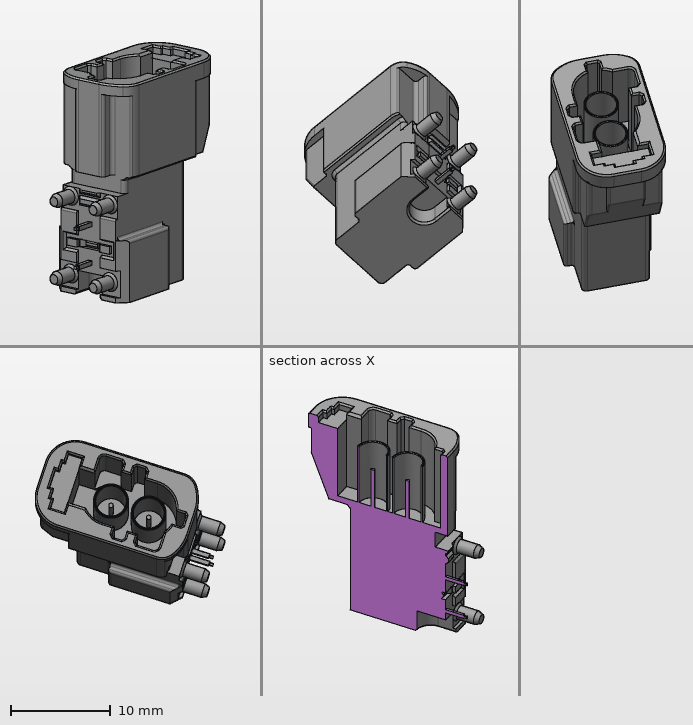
import cadquery as cq
import math

CLEAR_OF_PART = 6.76
EDGE_TOLERANCE = 0.02

TOTAL_HEIGHT = 22.55
HEAD_BOTTOM = 12.76
FOOT_TOP = 11.0

HEAD_HALF_WIDTH = 4.55
HEAD_FRONT = 0.1
HEAD_BACK = 16.0
HEAD_BACK_RADIUS = 3.13
HEAD_FRONT_HALF_FLAT = 1.29
FRONT_BOW_RADIUS = 4.33
FRONT_BOW_HALF_WIDTH = 3.75
RIM_CHAMFER = 0.18
HEAD_BOTTOM_CHAMFER = 0.18

GROOVE_TOP = 21.38
RIB_HALF_WIDTH = 1.85
RIB_FOOT_RADIUS = 0.38
RIB_NOSE_RADIUS = 0.34
GROOVE_CORNER_RADIUS = 0.23

BACK_RIM_BOTTOM = 20.75
BACK_HALF_WIDTH = 3.88
BACK_START = 11.73
BACK_STEP_RADIUS = 0.18
SHOULDER_Y = 14.93
SHOULDER_RADIUS = 0.43
TONGUE_BACK = 15.7
TONGUE_HALF_WIDTH = 1.92
TONGUE_RADIUS = 0.2
SLOPE_EDGE_RADIUS = 0.15
SLOPE_TOP = 17.77
SLOPE_FOOT_Y = 13.69

BODY_HALF_WIDTH = 3.5
BODY_FRONT = 1.49
BODY_BACK = 11.23
BODY_CORNER_RADIUS = 0.5
NECK_FLARE = 0.35

WING_HALF_WIDTH = 4.49
WING_TOP = 6.47
WING_BACK = 7.53
WING_FRONT_CHAMFER = WING_HALF_WIDTH - BODY_HALF_WIDTH
WING_ROUND = 0.32

FACE_RECESS_DEPTH = 0.34
FACE_SHOULDER_RADIUS = 0.18
UPPER_RECESS_BOTTOM = 8.65
COLUMN_HALF_WIDTH = 1.49
LOWER_RECESS_TOP = 3.31
LOWER_RECESS_BOTTOM = 0.52
CROSS_SLOT_HALF_WIDTH = 3.25
CROSS_SLOT_BOTTOM = 4.37
CROSS_SLOT_TOP = 6.31
CROSS_SLOT_TAPER = 30.0
CLIP_BOTTOM = 4.94
CLIP_TOP = 5.73
CLIP_HALF_WIDTH = 2.7
CLIP_GAP_HALF_WIDTH = 1.47
CLIP_DIP_TOP_HALF_WIDTH = 1.3
CLIP_DIP_HALF_WIDTH = 0.9
CLIP_DIP_DEPTH = 0.45
CLIP_RIDGE_HALF_WIDTH = 0.72
CLIP_RIDGE_HEIGHT = 0.23
CLIP_RIDGE_CREST = 0.27
PAD_HALF_WIDTH = 1.3
PAD_CHAMFER = 0.27
PAD_TOP = 10.33
PAD_BOTTOM = 9.31
UPPER_PAD_BOTTOM = 10.53

NOTCH_RADIUS = 1.53
NOTCH_CENTER_Y = 2.03
NOTCH_HEIGHT = 2.44
NOTCH_CHAMFER = 0.23

PEG_X = 2.5
PEG_HEIGHTS = (1.95, 10.03)
PEG_RADIUS = 0.72
PEG_TIP_RADIUS = 0.5
PEG_BASE_RADIUS = 0.97
PEG_BASE_LENGTH = 0.25
PEG_TIP_Y = -2.4
PEG_TIP_LENGTH = 0.52
PIN_HEIGHTS = (3.52, 7.55)
PIN_HALF_WIDTH = 0.23
PIN_TIP_HALF_WIDTH = 0.14
PIN_TIP_Y = -2.1
PIN_SHOULDER_Y = -1.75

CAVITY_FLOOR = 13.53
LATCH_FLOOR = 21.74
LEAD_IN = 0.18
NECK_LEAD_IN = 0.27
COAX_CENTERS_Y = (4.7, 8.65)
COAX_OUTER_DIAMETER = 3.5
COAX_BORE_DIAMETER = 3.07
COAX_RIM_CHAMFER = 0.1
COAX_TOP = 20.4
COAX_PIN_RADIUS = 0.23
COAX_PIN_TOP = 18.05
MAIN_RADIUS = 2.95
NECK_HALF_WIDTH = 2.1
KEY_HALF_WIDTH = 0.88
KEY_FRONT = 0.75
KEY_CLIP = 0.27
SIDE_SLOT_REACH = 4.01
SIDE_SLOT_CLIP = 0.35
SIDE_SLOT_FRONT = 5.86
SIDE_SLOT_BACK = 7.58
RIGHT_CODING_SPAN = (8.32, 11.15)
LEFT_CODING_SPAN = (5.12, 2.3)
CODING_FLOOR = 14.43
CODING_ROUND = 0.72
LATCH_FRONT = 12.45
LATCH_STEPS = ((3.11, 14.27), (NECK_HALF_WIDTH, 14.6), (1.13, 15.02))


def block(x0, x1, y0, y1, z0, z1):
    return cq.Workplane("XY").box(x1 - x0, y1 - y0, z1 - z0, centered=False).translate((x0, y0, z0))


def edges_along(part, y, z_range):
    z0, z1 = z_range
    selector = cq.selectors.BoxSelector(
        (-CLEAR_OF_PART, y - EDGE_TOLERANCE, z0 - EDGE_TOLERANCE),
        (CLEAR_OF_PART, y + EDGE_TOLERANCE, z1 + EDGE_TOLERANCE),
        boundingbox=True,
    )
    return part.edges(selector)


def cove_profile(plane, corner, direction, radius):
    u, v = corner
    du, dv = direction
    mid = radius * (1 - math.sqrt(0.5))
    return (
        cq.Workplane(plane)
        .moveTo(u, v)
        .lineTo(u + du * radius, v)
        .threePointArc((u + du * mid, v + dv * mid), (u, v + dv * radius))
        .close()
    )


def head_outline():
    bow_angle = math.asin((FRONT_BOW_HALF_WIDTH - HEAD_FRONT_HALF_FLAT) / FRONT_BOW_RADIUS)
    corner_radius = (HEAD_HALF_WIDTH - FRONT_BOW_HALF_WIDTH) / (1 - math.sin(bow_angle))
    bow_end_y = HEAD_FRONT + FRONT_BOW_RADIUS * (1 - math.cos(bow_angle))
    side_start_y = bow_end_y + corner_radius * math.cos(bow_angle)
    back_flat = HEAD_HALF_WIDTH - HEAD_BACK_RADIUS
    side_end_y = HEAD_BACK - HEAD_BACK_RADIUS
    return (
        cq.Workplane("XY")
        .moveTo(-HEAD_FRONT_HALF_FLAT, HEAD_FRONT)
        .lineTo(HEAD_FRONT_HALF_FLAT, HEAD_FRONT)
        .tangentArcPoint((FRONT_BOW_HALF_WIDTH, bow_end_y), relative=False)
        .tangentArcPoint((HEAD_HALF_WIDTH, side_start_y), relative=False)
        .lineTo(HEAD_HALF_WIDTH, side_end_y)
        .tangentArcPoint((back_flat, HEAD_BACK), relative=False)
        .lineTo(-back_flat, HEAD_BACK)
        .tangentArcPoint((-HEAD_HALF_WIDTH, side_end_y), relative=False)
        .lineTo(-HEAD_HALF_WIDTH, side_start_y)
        .tangentArcPoint((-FRONT_BOW_HALF_WIDTH, bow_end_y), relative=False)
        .tangentArcPoint((-HEAD_FRONT_HALF_FLAT, HEAD_FRONT), relative=False)
        .close()
    )


def make_front_rib():
    height = GROOVE_TOP - HEAD_BOTTOM
    rib = (
        block(-RIB_HALF_WIDTH, RIB_HALF_WIDTH, HEAD_FRONT, BODY_FRONT, HEAD_BOTTOM, GROOVE_TOP)
        .edges("|Z and <Y")
        .fillet(RIB_NOSE_RADIUS)
    )
    for side in (-1, 1):
        corner = (side * RIB_HALF_WIDTH, BODY_FRONT)
        foot = cove_profile("XY", corner, (side, -1), RIB_FOOT_RADIUS).extrude(height)
        rib = rib.union(foot.translate((0, 0, HEAD_BOTTOM)))
    envelope = head_outline().extrude(TOTAL_HEIGHT)
    return rib.intersect(envelope)


def cut_front_grooves(head):
    reach = CLEAR_OF_PART
    head = head.cut(block(-reach, reach, -reach, BODY_FRONT, HEAD_BOTTOM, GROOVE_TOP))
    return edges_along(head, BODY_FRONT, (HEAD_BOTTOM, GROOVE_TOP)).edges("|Z").fillet(GROOVE_CORNER_RADIUS)


def back_step(half_width, back, corner_radius):
    step = (
        block(-half_width, half_width, BACK_START, back, HEAD_BOTTOM, BACK_RIM_BOTTOM)
        .edges("|Z and >Y")
        .fillet(corner_radius)
        .cut(slope_cutter())
    )
    slope_normal = cq.Vector(0, SLOPE_TOP - HEAD_BOTTOM, SLOPE_FOOT_Y - TONGUE_BACK)
    slope_face = step.faces(cq.selectors.ParallelDirSelector(slope_normal))
    return slope_face.edges("not |X").fillet(SLOPE_EDGE_RADIUS)


def back_profile():
    height = BACK_RIM_BOTTOM - HEAD_BOTTOM
    shoulder = back_step(BACK_HALF_WIDTH, SHOULDER_Y, SHOULDER_RADIUS)
    tongue = back_step(TONGUE_HALF_WIDTH, TONGUE_BACK, TONGUE_RADIUS)
    profile = shoulder.union(tongue)
    for side in (-1, 1):
        corner = (side * BACK_HALF_WIDTH, BACK_START)
        cove = cove_profile("XY", corner, (side, 1), BACK_STEP_RADIUS).extrude(height)
        profile = profile.union(cove.translate((0, 0, HEAD_BOTTOM)))
    return profile


def slope_cutter():
    beyond = HEAD_BACK + CLEAR_OF_PART
    return (
        cq.Workplane("YZ")
        .polyline([
            (SLOPE_FOOT_Y, HEAD_BOTTOM),
            (TONGUE_BACK, SLOPE_TOP),
            (beyond, SLOPE_TOP),
            (beyond, HEAD_BOTTOM),
        ])
        .close()
        .extrude(HEAD_HALF_WIDTH, both=True)
    )


def narrow_back(head):
    reach = CLEAR_OF_PART
    surround = block(-reach, reach, BACK_START, HEAD_BACK + CLEAR_OF_PART, HEAD_BOTTOM, BACK_RIM_BOTTOM)
    head = head.cut(surround.cut(back_profile()))
    step_edges = edges_along(head, BACK_START, (HEAD_BOTTOM, BACK_RIM_BOTTOM)).edges("|Z")
    return step_edges.edges("<X or >X").fillet(BACK_STEP_RADIUS)


def make_head():
    height = TOTAL_HEIGHT - HEAD_BOTTOM
    head = head_outline().extrude(height).translate((0, 0, HEAD_BOTTOM))
    head = head.faces(">Z").edges().chamfer(RIM_CHAMFER)
    head = head.faces("<Z").edges().chamfer(HEAD_BOTTOM_CHAMFER)
    head = narrow_back(cut_front_grooves(head))
    return head.union(make_front_rib())


def make_body():
    shaft_top = HEAD_BOTTOM + HEAD_BOTTOM_CHAMFER
    body = (
        block(-BODY_HALF_WIDTH, BODY_HALF_WIDTH, BODY_FRONT, BODY_BACK, 0, shaft_top)
        .edges("|Z")
        .fillet(BODY_CORNER_RADIUS)
    )
    depth = BODY_BACK - BODY_FRONT
    section = cq.Sketch().rect(2 * BODY_HALF_WIDTH, depth).vertices().fillet(BODY_CORNER_RADIUS)
    flare = (
        cq.Workplane("XY")
        .workplane(offset=HEAD_BOTTOM - NECK_FLARE)
        .center(0, BODY_FRONT + depth / 2)
        .placeSketch(section)
        .extrude(NECK_FLARE, taper=-45)
    )
    reach = HEAD_HALF_WIDTH
    flare = flare.intersect(block(-reach, reach, BODY_FRONT, BODY_BACK + reach, 0, TOTAL_HEIGHT))
    foot = block(-BODY_HALF_WIDTH, BODY_HALF_WIDTH, 0, BODY_FRONT + BODY_CORNER_RADIUS, 0, FOOT_TOP)
    return body.union(flare).union(foot)


def make_wings():
    wings = (
        block(-WING_HALF_WIDTH, WING_HALF_WIDTH, 0, WING_BACK, 0, WING_TOP)
        .edges("|Z and <Y")
        .chamfer(WING_FRONT_CHAMFER)
    )
    outer = wings.faces("<X or >X").edges(">Y or >Z")
    return outer.fillet(WING_ROUND)


def make_wing_coves():
    coves = cq.Workplane("XY")
    for side in (-1, 1):
        corner_x = side * BODY_HALF_WIDTH
        top_profile = cove_profile("XZ", (corner_x, WING_TOP), (side, 1), WING_ROUND)
        top = top_profile.extrude(WING_ROUND - WING_BACK).translate((0, WING_ROUND, 0))
        back = cove_profile("XY", (corner_x, WING_BACK), (side, 1), WING_ROUND).extrude(WING_TOP)
        coves = coves.add(top).add(back)
    return coves.combine()


def cut_mounting_face(part):
    reach = CLEAR_OF_PART
    depth = FACE_RECESS_DEPTH
    lower_half = BODY_HALF_WIDTH + depth
    part = part.cut(block(-reach, reach, -reach, depth, UPPER_RECESS_BOTTOM, FOOT_TOP))
    part = part.cut(block(-lower_half, lower_half, -reach, depth, LOWER_RECESS_BOTTOM, LOWER_RECESS_TOP))
    part = part.cut(
        block(-COLUMN_HALF_WIDTH, COLUMN_HALF_WIDTH, -reach, depth, LOWER_RECESS_BOTTOM, UPPER_RECESS_BOTTOM)
    )
    cross_slot = (
        cq.Workplane("XZ")
        .center(0, (CROSS_SLOT_BOTTOM + CROSS_SLOT_TOP) / 2)
        .rect(2 * CROSS_SLOT_HALF_WIDTH, CROSS_SLOT_TOP - CROSS_SLOT_BOTTOM)
        .extrude(-depth, taper=CROSS_SLOT_TAPER)
    )
    part = part.cut(cross_slot)
    return edges_along(part, 0, (UPPER_RECESS_BOTTOM, UPPER_RECESS_BOTTOM)).fillet(FACE_SHOULDER_RADIUS)


def add_clip(part):
    depth = FACE_RECESS_DEPTH
    dip_floor = depth + CLIP_DIP_DEPTH
    crest_y = dip_floor - CLIP_RIDGE_HEIGHT
    middle = (CLIP_BOTTOM + CLIP_TOP) / 2
    height = CLIP_TOP - CLIP_BOTTOM
    dip = (
        cq.Workplane("XY")
        .workplane(offset=CLIP_BOTTOM)
        .polyline([
            (-CLIP_DIP_TOP_HALF_WIDTH, depth),
            (CLIP_DIP_TOP_HALF_WIDTH, depth),
            (CLIP_DIP_HALF_WIDTH, dip_floor),
            (-CLIP_DIP_HALF_WIDTH, dip_floor),
        ])
        .close()
        .extrude(height)
    )
    ridge = (
        cq.Workplane("YZ")
        .polyline([
            (dip_floor, CLIP_BOTTOM),
            (crest_y, middle - CLIP_RIDGE_CREST / 2),
            (crest_y, middle + CLIP_RIDGE_CREST / 2),
            (dip_floor, CLIP_TOP),
        ])
        .close()
        .extrude(CLIP_RIDGE_HALF_WIDTH, both=True)
    )
    part = part.cut(dip).union(ridge)
    for x0 in (-CLIP_HALF_WIDTH, CLIP_GAP_HALF_WIDTH):
        x1 = x0 + CLIP_HALF_WIDTH - CLIP_GAP_HALF_WIDTH
        part = part.union(block(x0, x1, 0, depth, CLIP_BOTTOM, CLIP_TOP))
    return part


def make_pad(bottom, top, sloped_edges):
    pad = block(-PAD_HALF_WIDTH, PAD_HALF_WIDTH, 0, FACE_RECESS_DEPTH, bottom, top)
    return pad.faces("<Y").edges(sloped_edges).chamfer(PAD_CHAMFER)


def make_notch():
    slot = (
        block(-NOTCH_RADIUS, NOTCH_RADIUS, -CLEAR_OF_PART, NOTCH_CENTER_Y, 0, NOTCH_HEIGHT)
        .union(cq.Workplane("XY").center(0, NOTCH_CENTER_Y).circle(NOTCH_RADIUS).extrude(NOTCH_HEIGHT))
    )
    outer = NOTCH_RADIUS + NOTCH_CHAMFER
    flare = (
        cq.Workplane("XY")
        .moveTo(-outer, -CLEAR_OF_PART)
        .lineTo(outer, -CLEAR_OF_PART)
        .lineTo(outer, NOTCH_CENTER_Y)
        .threePointArc((0, NOTCH_CENTER_Y + outer), (-outer, NOTCH_CENTER_Y))
        .close()
        .extrude(NOTCH_CHAMFER, taper=45)
    )
    return slot.union(flare)


def turned_peg(x, z, stations):
    root_y = stations[0][0]
    tip_y = stations[-1][0]
    return (
        cq.Workplane("YZ")
        .polyline([(root_y, 0)] + stations + [(tip_y, 0)])
        .close()
        .revolve(360, (0, 0, 0), (1, 0, 0))
        .translate((x, 0, z))
    )


def make_pegs():
    root = FACE_RECESS_DEPTH
    stations = [
        (root, PEG_BASE_RADIUS),
        (root - PEG_BASE_LENGTH, PEG_RADIUS),
        (PEG_TIP_Y + PEG_TIP_LENGTH, PEG_RADIUS),
        (PEG_TIP_Y, PEG_TIP_RADIUS),
    ]
    return [turned_peg(x, z, stations) for x in (-PEG_X, PEG_X) for z in PEG_HEIGHTS]


def make_contact_pins():
    shank = block(
        -PIN_HALF_WIDTH, PIN_HALF_WIDTH, PIN_SHOULDER_Y, FACE_RECESS_DEPTH, -PIN_HALF_WIDTH, PIN_HALF_WIDTH
    )
    shank = shank.faces("<Y").edges().chamfer(PIN_HALF_WIDTH - PIN_TIP_HALF_WIDTH)
    half_tip = PIN_TIP_HALF_WIDTH
    tip = block(-half_tip, half_tip, PIN_TIP_Y, PIN_SHOULDER_Y, -half_tip, half_tip)
    pin = shank.union(tip)
    return [pin.translate((0, 0, z)) for z in PIN_HEIGHTS]


def octagonal(half_width, cut, y0, y1):
    return cq.Workplane("XY").polyline([
        (-half_width, y0 + cut),
        (-half_width + cut, y0),
        (half_width - cut, y0),
        (half_width, y0 + cut),
        (half_width, y1 - cut),
        (half_width - cut, y1),
        (-half_width + cut, y1),
        (-half_width, y1 - cut),
    ]).close()


def rectangle(half_width, y0, y1):
    return cq.Workplane("XY").center(0, (y0 + y1) / 2).rect(2 * half_width, y1 - y0)


def main_bore():
    front_y, back_y = COAX_CENTERS_Y
    return (
        cq.Workplane("XY")
        .center(0, (front_y + back_y) / 2)
        .slot2D(back_y - front_y + 2 * MAIN_RADIUS, 2 * MAIN_RADIUS, 90)
    )


def coding_pocket(side, inner_y, outer_y):
    away = math.copysign(1, outer_y - inner_y)
    reach = side * SIDE_SLOT_REACH
    bend = CODING_ROUND
    inset = bend * (1 - math.sqrt(0.5))
    return (
        cq.Workplane("XY")
        .moveTo(0, inner_y)
        .lineTo(reach - side * SIDE_SLOT_CLIP, inner_y)
        .lineTo(reach, inner_y + away * SIDE_SLOT_CLIP)
        .lineTo(reach, outer_y - away * bend)
        .threePointArc((reach - side * inset, outer_y - away * inset), (reach - side * bend, outer_y))
        .lineTo(0, outer_y)
        .close()
    )


def pocket(outline, floor, lead_in=LEAD_IN):
    mouth = outline.extrude(-lead_in, taper=45)
    straight = mouth.faces("<Z").wires().toPending().extrude(lead_in + floor - TOTAL_HEIGHT)
    return mouth.union(straight).translate((0, 0, TOTAL_HEIGHT))


def cut_cavity(part):
    front_y, back_y = COAX_CENTERS_Y
    side_slots = octagonal(SIDE_SLOT_REACH, SIDE_SLOT_CLIP, SIDE_SLOT_FRONT, SIDE_SLOT_BACK)
    key = octagonal(KEY_HALF_WIDTH, KEY_CLIP, KEY_FRONT, front_y)
    neck = rectangle(NECK_HALF_WIDTH, back_y, LATCH_FRONT + LEAD_IN + NECK_LEAD_IN)
    pockets = [
        pocket(main_bore(), CAVITY_FLOOR),
        pocket(side_slots, CAVITY_FLOOR),
        pocket(key, CAVITY_FLOOR),
        pocket(neck, CAVITY_FLOOR, NECK_LEAD_IN),
        pocket(coding_pocket(1, *RIGHT_CODING_SPAN), CODING_FLOOR),
        pocket(coding_pocket(-1, *LEFT_CODING_SPAN), CODING_FLOOR),
    ]
    for half_width, back in LATCH_STEPS:
        pockets.append(pocket(rectangle(half_width, LATCH_FRONT, back), LATCH_FLOOR))
    for cutter in pockets:
        part = part.cut(cutter)
    return part


def add_coax(part):
    for y in COAX_CENTERS_Y:
        base = cq.Workplane("XY").workplane(offset=CAVITY_FLOOR).center(0, y)
        ring = base.circle(COAX_OUTER_DIAMETER / 2).circle(COAX_BORE_DIAMETER / 2)
        tube = ring.extrude(COAX_TOP - CAVITY_FLOOR)
        tube = tube.faces(">Z").edges().chamfer(COAX_RIM_CHAMFER)
        pin = base.circle(COAX_PIN_RADIUS).extrude(COAX_PIN_TOP - CAVITY_FLOOR)
        part = part.union(tube).union(pin)
    return part


part = make_head().union(make_body()).union(make_wings()).union(make_wing_coves())
part = cut_mounting_face(part)
part = add_clip(part)
part = part.union(make_pad(PAD_BOTTOM, PAD_TOP, "|X or |Z"))
part = part.union(make_pad(UPPER_PAD_BOTTOM, FOOT_TOP, "<Z or |Z"))
part = part.cut(make_notch())
for peg in make_pegs() + make_contact_pins():
    part = part.union(peg)
result = add_coax(cut_cavity(part))